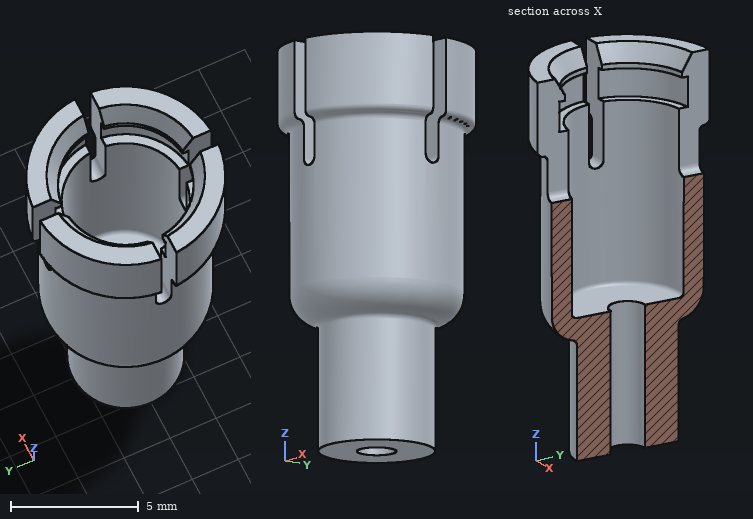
import cadquery as cq
import math

total_height = 16.0
collar_bottom = 13.1
shoulder_top = 6.25
slot_bottom = total_height - 5.0

collar_radius = 3.9
body_radius = 3.44
stem_radius = 2.3
shoulder_fillet = 1.2
step_fillet = 0.24

mouth_radius = 3.1
lip_radius = 2.65
groove_radius = 2.91
bore_radius = 2.51
hole_radius = 0.77
lip_top = total_height - 0.75
lip_bottom = total_height - 0.98
ledge_height = total_height - 2.24
bore_floor = shoulder_top - 0.25
floor_fillet = 0.2

slot_width = 0.65


def cylinder(radius, bottom, top):
    return cq.Workplane("XY").workplane(offset=bottom).circle(radius).extrude(top - bottom)


def add_step(profile, inner_radius, outer_radius, top, convex, concave):
    """Step a rising profile outward: a concave arc flowing straight into a convex arc."""
    arc_sum = convex + concave
    turn = math.acos(1 - (outer_radius - inner_radius) / arc_sum)
    bottom = top - arc_sum * math.sin(turn)

    def concave_point(angle):
        return (inner_radius + concave * (1 - math.cos(angle)), bottom + concave * math.sin(angle))

    def convex_point(angle):
        return (outer_radius - convex * (1 - math.cos(angle)), top - convex * math.sin(angle))

    return (
        profile.lineTo(inner_radius, bottom)
        .threePointArc(concave_point(turn / 2), concave_point(turn))
        .threePointArc(convex_point(turn / 2), (outer_radius, top))
    )


def make_outside():
    profile = cq.Workplane("XZ").lineTo(stem_radius, 0)
    profile = add_step(profile, stem_radius, body_radius, shoulder_top, shoulder_fillet, step_fillet)
    profile = add_step(profile, body_radius, collar_radius, collar_bottom, step_fillet, step_fillet)
    return (
        profile.lineTo(collar_radius, total_height)
        .lineTo(0, total_height)
        .close()
        .revolve(360, (0, 0, 0), (0, 1, 0))
    )


def make_cavity():
    mouth = (
        cq.Workplane("XZ")
        .moveTo(0, lip_top)
        .lineTo(lip_radius, lip_top)
        .lineTo(mouth_radius, total_height)
        .lineTo(0, total_height)
        .close()
        .revolve(360, (0, 0, 0), (0, 1, 0))
    )
    lip = cylinder(lip_radius, lip_bottom, lip_top)
    groove = cylinder(groove_radius, ledge_height, lip_bottom)
    bore = cylinder(bore_radius, bore_floor, ledge_height).faces("<Z").edges().fillet(floor_fillet)
    hole = cylinder(hole_radius, 0, bore_floor)
    return mouth.union(lip).union(groove).union(bore).union(hole)


def make_slot():
    """A round-bottomed slot cut right across the part along Y."""
    half_width = slot_width / 2
    arc_height = slot_bottom + half_width
    return (
        cq.Workplane("XZ")
        .moveTo(-half_width, total_height)
        .lineTo(-half_width, arc_height)
        .threePointArc((0, slot_bottom), (half_width, arc_height))
        .lineTo(half_width, total_height)
        .close()
        .extrude(collar_radius, both=True)
    )


result = make_outside().cut(make_cavity())
for angle in (0, 90):
    result = result.cut(make_slot().rotate((0, 0, 0), (0, 0, 1), angle))